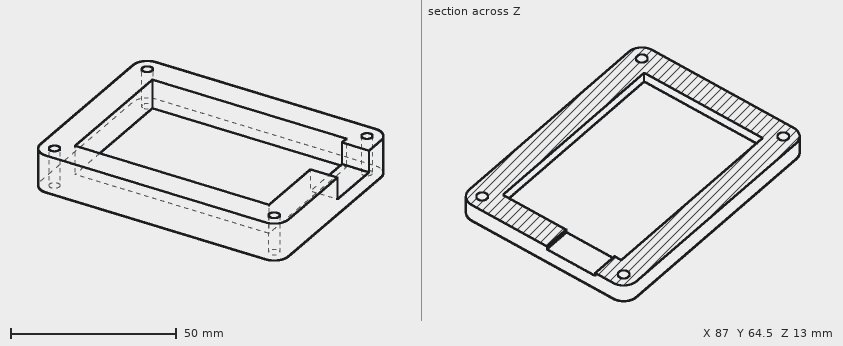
import cadquery as cq

length = 87.0
width = 64.5
height = 13.0
corner_radius = 5.0

wall = 9.5
pocket_depth = 10.0

notch_width = 18.5
notch_depth = 7.6
notch_back_offset = 12.1

screw_hole_diameter = 3.4


def rounded_block():
    return (
        cq.Workplane("XY")
        .box(length, width, height, centered=(True, True, False))
        .edges("|Z")
        .fillet(corner_radius)
    )


def pocket():
    return (
        cq.Workplane("XY", origin=(0, 0, height))
        .rect(length - 2 * wall, width - 2 * wall)
        .extrude(-pocket_depth)
    )


def cable_notch():
    center_x = (length - wall) / 2
    center_y = width / 2 - notch_back_offset - notch_width / 2
    return (
        cq.Workplane("XY", origin=(center_x, center_y, height))
        .rect(wall, notch_width)
        .extrude(-notch_depth)
    )


def screw_holes():
    return (
        cq.Workplane("XY")
        .rect(length - 2 * corner_radius, width - 2 * corner_radius, forConstruction=True)
        .vertices()
        .circle(screw_hole_diameter / 2)
        .extrude(height)
    )


result = rounded_block().cut(pocket()).cut(cable_notch()).cut(screw_holes())